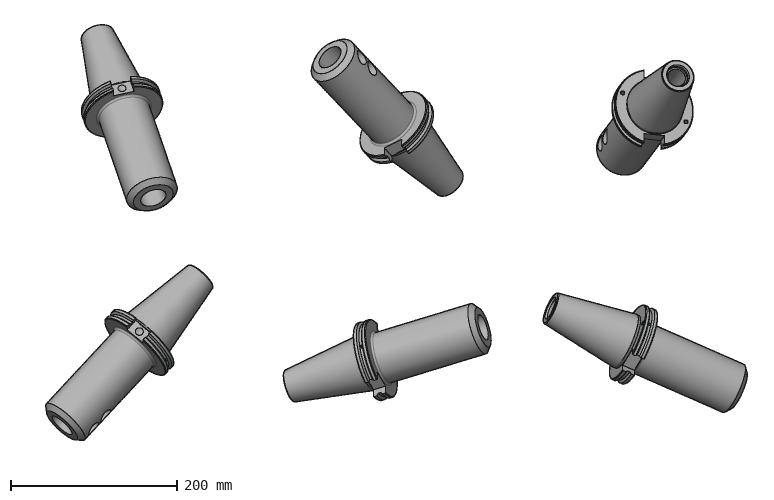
import cadquery as cq
import math

total_length = 254.0
body_diameter = 63.5
nose_chamfer_length = 6.0
nose_chamfer_height = 6.9

taper_length = 101.0
taper_large_diameter = 69.8
taper_ratio = 7 / 24
taper_end_chamfer = 1.0
neck_diameter = 69.3
neck_start = 102.5

flange_start = 104.5
flange_end = 120.6
flange_diameter = 98.0
flange_chamfer = 1.0
root_fillet = 2.5

groove_center = 112.5
groove_floor_diameter = 91.5
groove_floor_width = 3.3
groove_wall_angle = 30.0

slot_width = 25.5
upper_slot_floor = 37.5
lower_slot_floor = 35.5
dimple_diameter = 9.7
drill_tip_angle = 118.0

thread_diameter = 26.2
thread_mouth_diameter = 28.5
thread_mouth_depth = 2.5
thread_depth = 6.4
through_diameter = 22.0
tool_bore_diameter = 31.8
tool_bore_depth = 81.3

screw_diameter = 18.5
screw_positions = (210.3, 232.2)

port_circle_radius = 42.2
port_angle = 20.0
port_diameter = 4.0
port_mouth_diameter = 5.0
radial_port_diameter = 3.3


def revolve_profile(points):
    """Revolve a closed (x, radius) outline about the X axis."""
    outline = cq.Workplane("XY").polyline(points).close()
    return outline.revolve(360, (0, 0, 0), (1, 0, 0))


def cylinder(diameter, length, origin, direction):
    return cq.Workplane(
        cq.Solid.makeCylinder(diameter / 2, length, cq.Vector(*origin), cq.Vector(*direction))
    )


def make_outer_shape():
    body_radius = body_diameter / 2
    flange_radius = flange_diameter / 2
    taper_large_radius = taper_large_diameter / 2
    taper_small_radius = taper_large_radius - taper_length * taper_ratio / 2
    chamfer_top_radius = taper_small_radius + taper_end_chamfer * taper_ratio / 2
    floor_radius = groove_floor_diameter / 2
    floor_half_width = groove_floor_width / 2
    groove_depth = flange_radius - floor_radius
    wall_width = groove_depth * math.tan(math.radians(groove_wall_angle))
    mouth_half_width = floor_half_width + wall_width
    fillet_reach = root_fillet * (1 - math.sqrt(0.5))
    outline = (
        cq.Workplane("XY")
        .moveTo(0, 0)
        .lineTo(0, chamfer_top_radius - taper_end_chamfer)
        .lineTo(taper_end_chamfer, chamfer_top_radius)
        .lineTo(taper_length, taper_large_radius)
        .lineTo(neck_start, neck_diameter / 2)
        .lineTo(flange_start, neck_diameter / 2)
        .lineTo(flange_start, flange_radius - flange_chamfer)
        .lineTo(flange_start + flange_chamfer, flange_radius)
        .lineTo(groove_center - mouth_half_width, flange_radius)
        .lineTo(groove_center - floor_half_width, floor_radius)
        .lineTo(groove_center + floor_half_width, floor_radius)
        .lineTo(groove_center + mouth_half_width, flange_radius)
        .lineTo(flange_end - flange_chamfer, flange_radius)
        .lineTo(flange_end, flange_radius - flange_chamfer)
        .lineTo(flange_end, body_radius + root_fillet)
        .threePointArc(
            (flange_end + fillet_reach, body_radius + fillet_reach),
            (flange_end + root_fillet, body_radius),
        )
        .lineTo(total_length - nose_chamfer_length, body_radius)
        .lineTo(total_length, body_radius - nose_chamfer_height)
        .lineTo(total_length, 0)
        .close()
    )
    return outline.revolve(360, (0, 0, 0), (1, 0, 0))


def make_bore():
    tool_bore_start = total_length - tool_bore_depth
    return revolve_profile([
        (0, 0),
        (0, thread_mouth_diameter / 2),
        (thread_mouth_depth, thread_diameter / 2),
        (thread_depth, thread_diameter / 2),
        (thread_depth, through_diameter / 2),
        (tool_bore_start, through_diameter / 2),
        (tool_bore_start, tool_bore_diameter / 2),
        (total_length, tool_bore_diameter / 2),
        (total_length, 0),
    ])


def make_drive_slot(floor_height, side):
    """Slot open outward in Z; side is +1 for the top and -1 for the bottom."""
    depth = flange_diameter / 2 - floor_height
    slot = cq.Workplane("XY").box(flange_end - flange_start, slot_width, depth)
    middle_x = (flange_start + flange_end) / 2
    return slot.translate((middle_x, 0, side * (floor_height + depth / 2)))


def make_dimple():
    """Conical drill spot in the floor of the upper slot."""
    radius = dimple_diameter / 2
    tip_depth = radius / math.tan(math.radians(drill_tip_angle / 2))
    half_section = (
        cq.Workplane("XZ")
        .polyline([(0, 0), (radius, 0), (0, -tip_depth)])
        .close()
    )
    dimple = half_section.revolve(360, (0, 0, 0), (0, 1, 0))
    return dimple.translate((groove_center, 0, upper_slot_floor))


def make_coolant_port(angle):
    """Axial and radial holes that meet below the groove, at an angle from +Y toward +Z."""
    direction_y = math.cos(math.radians(angle))
    direction_z = math.sin(math.radians(angle))
    port_y = port_circle_radius * direction_y
    port_z = port_circle_radius * direction_z
    mouth_depth = (port_mouth_diameter - port_diameter) / 2
    axial = cylinder(port_diameter, groove_center - flange_start, (flange_start, port_y, port_z), (1, 0, 0))
    mouth = cq.Workplane(cq.Solid.makeCone(
        port_mouth_diameter / 2,
        port_diameter / 2,
        mouth_depth,
        cq.Vector(flange_start, port_y, port_z),
        cq.Vector(1, 0, 0),
    ))
    radial = cylinder(
        radial_port_diameter,
        flange_diameter / 2 - port_circle_radius,
        (groove_center, port_y, port_z),
        (0, direction_y, direction_z),
    )
    return axial.union(mouth).union(radial)


result = make_outer_shape().cut(make_bore())
result = result.cut(make_drive_slot(upper_slot_floor, 1))
result = result.cut(make_drive_slot(lower_slot_floor, -1))
result = result.cut(make_dimple())
for screw_x in screw_positions:
    result = result.cut(cylinder(screw_diameter, body_diameter / 2, (screw_x, 0, 0), (0, 1, 0)))
for opposite_angle in (0, 180):
    result = result.cut(make_coolant_port(port_angle + opposite_angle))